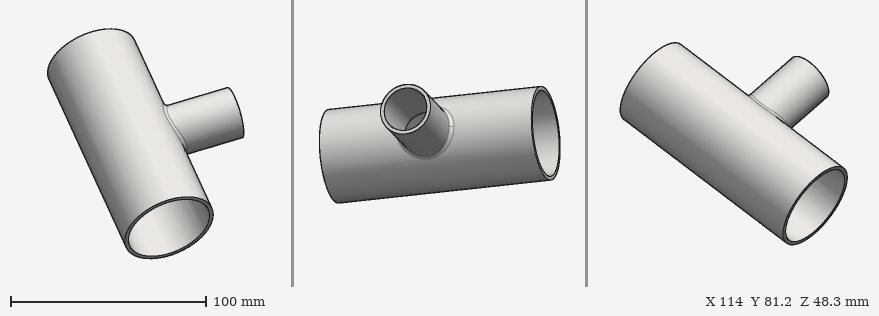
import cadquery as cq

run_length = 114.0
run_diameter = 48.3
run_bore = 44.3
wall = (run_diameter - run_bore) / 2

branch_diameter = 26.9
branch_bore = branch_diameter - 2 * wall
branch_reach = run_length / 2

junction_fillet = wall


def run_cylinder(diameter):
    """Cylinder along X, centred on the origin, as long as the run pipe."""
    return cq.Workplane("YZ").circle(diameter / 2).extrude(run_length / 2, both=True)


def branch_cylinder(diameter):
    """Cylinder from the run axis to the open end of the branch."""
    return cq.Workplane("XZ").circle(diameter / 2).extrude(-branch_reach)


def solid_tee():
    """Tee without bores, with a fillet around the saddle-shaped junction."""
    tee = run_cylinder(run_diameter).union(branch_cylinder(branch_diameter))
    return tee.edges("%BSPLINE").fillet(junction_fillet)


result = solid_tee().cut(run_cylinder(run_bore)).cut(branch_cylinder(branch_bore))